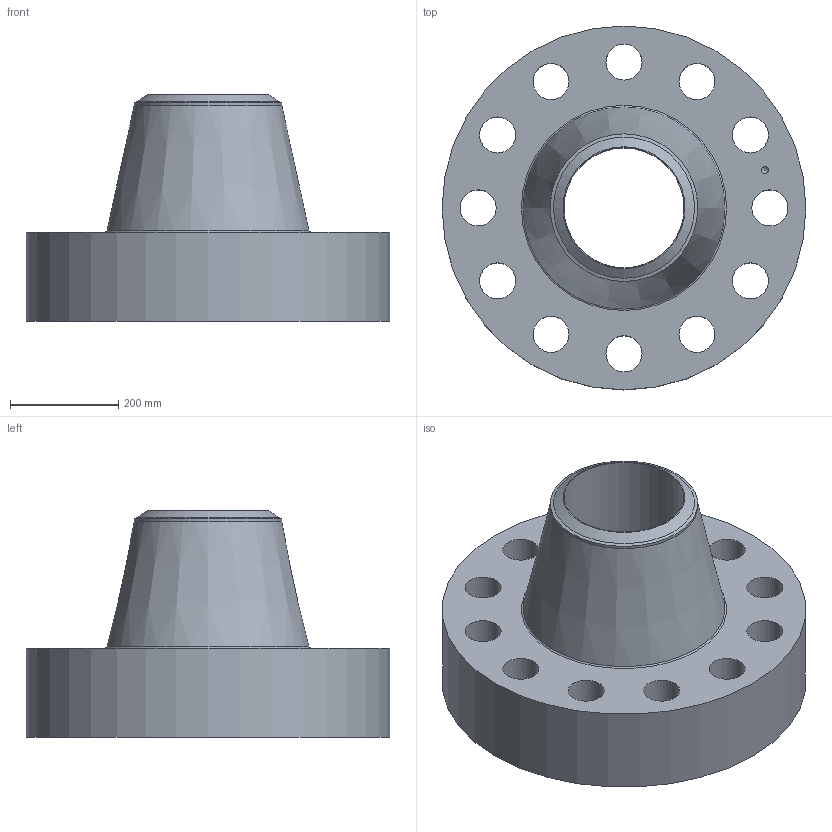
import cadquery as cq
import math

flange_diameter = 673.1
flange_thickness = 165.1
overall_height = 419.1

hub_base_diameter = 374.65
hub_root_radius = 3.0

bore_diameter = 222.25
weld_end_diameter = 273.05
root_face_width = 1.6
bevel_outer_diameter = 261.0
bevel_height = 12.7
shoulder_height = 2.0
band_height = 5.5

bolt_count = 12
bolt_circle_diameter = 539.75
bolt_hole_diameter = 66.7

port_diameter = 13.0
port_depth = 25.0
port_tip_angle = 118
port_angle = 180 / bolt_count


def make_body():
    """Revolve the solid flange and hub outline about Z, with the bore through it."""
    bore_radius = bore_diameter / 2
    bevel_bottom = overall_height - bevel_height
    band_top = bevel_bottom - shoulder_height
    band_bottom = band_top - band_height
    outline = (
        cq.Workplane("XZ")
        .moveTo(bore_radius, 0)
        .lineTo(flange_diameter / 2, 0)
        .lineTo(flange_diameter / 2, flange_thickness)
        .lineTo(hub_base_diameter / 2, flange_thickness)
        .lineTo(weld_end_diameter / 2, band_bottom)
        .lineTo(weld_end_diameter / 2, band_top)
        .lineTo(bevel_outer_diameter / 2, bevel_bottom)
        .lineTo(bore_radius + root_face_width, overall_height)
        .lineTo(bore_radius, overall_height)
        .close()
    )
    return outline.revolve(360, (0, 0, 0), (0, 1, 0))


def round_hub_root(body):
    """Fillet the inside corner where the hub meets the flange."""
    margin = 1.0
    reach = hub_base_diameter / 2 + margin
    root_edge = cq.selectors.BoxSelector(
        (-reach, -reach, flange_thickness - margin),
        (reach, reach, flange_thickness + margin),
        boundingbox=True,
    )
    return body.edges(root_edge).fillet(hub_root_radius)


def cut_bolt_holes(body):
    """Cut the ring of bolt holes through the flange."""
    return (
        body.faces("<Z")
        .workplane(origin=(0, 0, 0))
        .polarArray(bolt_circle_diameter / 2, 0, 360, bolt_count)
        .circle(bolt_hole_diameter / 2)
        .cutBlind(-flange_thickness)
    )


def cut_port(body):
    """Drill the small blind hole, ending in a conical tip."""
    angle = math.radians(port_angle)
    x = bolt_circle_diameter / 2 * math.cos(angle)
    y = bolt_circle_diameter / 2 * math.sin(angle)
    port = (
        cq.Workplane("XY", origin=(x, y, flange_thickness))
        .circle(port_diameter / 2)
        .extrude(-port_depth)
    )
    port_radius = port_diameter / 2
    tip_height = port_radius / math.tan(math.radians(port_tip_angle / 2))
    tip_base = cq.Vector(x, y, flange_thickness - port_depth)
    tip = cq.Solid.makeCone(port_radius, 0, tip_height, tip_base, cq.Vector(0, 0, -1))
    return body.cut(port).cut(cq.Workplane(tip))


result = cut_port(cut_bolt_holes(round_hub_root(make_body())))